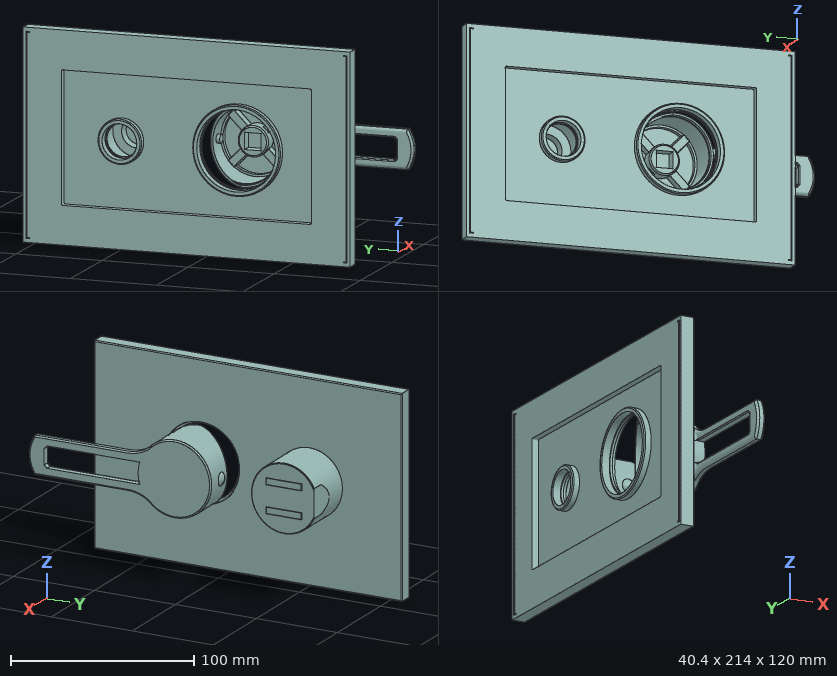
import cadquery as cq
import math


PLATE_LENGTH = 190.0
PLATE_HEIGHT = 120.0
PLATE_THICK = 8.5
PLATE_FRONT_CHAMFER = 0.6
POCKET_LENGTH = 145.3
POCKET_HEIGHT = 75.5
POCKET_DEPTH = 4.0
POCKET_CORNER = 1.0
COLLAR_WALL = 2.5
COLLAR_CHAMFER = 0.6
BIG_HOLE_RADIUS = 23.0
SMALL_HOLE_RADIUS = 10.0
HOLE_LIP = 0.6
HOLE_LIP_X = 4.7
HOLE_RECESS_WALL = 0.9
HOLE_RECESS_DEPTH = 2.4
GROOVE_INSET_Y = 2.0
GROOVE_INSET_Z = 2.4
GROOVE_WIDTH = 0.5
GROOVE_DEPTH = 0.5
GROOVE_HOOK = 2.0

LEVER_Y = -28.9
KNOB_Y = 39.0
CONTROL_BACK = 10.3

KNOB_RADIUS = 20.3
KNOB_FRONT = 39.8
KNOB_BORE_RADIUS = 14.0
KNOB_BORE_DEPTH = 17.1
KNOB_SEAT_RADIUS = 7.7
KNOB_SEAT_MOUTH_RADIUS = 8.8
KNOB_SEAT_DEPTH = 4.3
KNOB_FRONT_CHAMFER = 0.5
FLAT_DEPTH = 2.0
FLAT_RAMP_START = 25.7
FLAT_RAMP_END = 31.7
RAIL_LENGTH = 21.8
RAIL_WIDTH = 3.9
RAIL_HEIGHT = 0.6
RAIL_OFFSET = 8.3
KNOB_DOME_X = 30.2
KNOB_DOME_HEIGHT = 2.0

HUB_RADIUS = 22.5
LEVER_FRONT = 39.4
FRONT_CHAMFER = 0.9
BEVEL_TOP_X = 20.5
BEVEL_END_OFFSET = 1.0
CUP_RIM_RADIUS = 21.2
CUP_RIM_DEPTH = 2.5
CUP_RADIUS = 20.8
CUP_FLOOR_X = 34.9
CUP_STEP_RADIUS = 19.5
CUP_STEP_X = 32.0
RIB_WIDTH = 5.5
RIB_TAPER = 7
RIB_HEIGHT = 4.3
SOCKET_RADIUS = 8.8
SOCKET_HEIGHT = 8.5
SOCKET_SQUARE = 9.6
SOCKET_DEPTH = 6.5
SOCKET_CHAMFER = 0.9
LEVER_DOME_X = 27.2
LEVER_DOME_HEIGHT = 1.5
SCREW_RADIUS = 2.5
SCREW_REACH = 18.6
SCREW_EMBED = 0.6
DOME_RADIUS = 3.6

ARM_BACK = 34.7
ARM_HALF_WIDTH = 11.3
ARM_TIP_Y = PLATE_LENGTH / 2 - 214
ARM_TIP_BULGE = 3.5
ARM_BACK_CHAMFER = 1.3
FLARE_HALF_WIDTH = 17.5
FLARE_END = 29.0
FLARE_OVERLAP = 0.2
ROOT_FILLET = 1.7
SLOT_HALF_WIDTH = 6.5
SLOT_TIP_MARGIN = 9.6
SLOT_CORNER = 1.7
SLOT_BEVEL = 0.6
SLOT_BEVEL_CHAMFER = SLOT_BEVEL * 0.99


def rod(x_start, x_end, y, radius):
    """Cylinder along X."""
    return cq.Workplane("YZ", origin=(x_start, y, 0)).circle(radius).extrude(x_end - x_start)


def slab(x_start, x_end, y, length, height):
    """Box centred on Y = y and Z = 0."""
    return cq.Workplane("YZ", origin=(x_start, y, 0)).rect(length, height).extrude(x_end - x_start)


def dome(x, y_surface, outward, height):
    """Spherical cap standing on a side of a round body; outward is +1 or -1 along Y."""
    sphere_radius = (DOME_RADIUS**2 + height**2) / (2 * height)
    centre_y = y_surface + outward * (height - sphere_radius)
    return cq.Workplane("XY", origin=(x, centre_y, 0)).sphere(sphere_radius)


def make_end_groove(side):
    """Fine bracket-shaped groove in the back face along one end; side is +1 or -1 along Y."""
    groove_height = PLATE_HEIGHT - 2 * GROOVE_INSET_Z
    outer_y = PLATE_LENGTH / 2 - GROOVE_INSET_Y
    bracket = slab(0, GROOVE_DEPTH, side * (outer_y - GROOVE_HOOK / 2), GROOVE_HOOK, groove_height)
    core = slab(
        0,
        GROOVE_DEPTH,
        side * (outer_y - GROOVE_WIDTH - GROOVE_HOOK / 2),
        GROOVE_HOOK,
        groove_height - 2 * GROOVE_WIDTH,
    )
    return bracket.cut(core)


def make_plate():
    plate = slab(0, PLATE_THICK, 0, PLATE_LENGTH, PLATE_HEIGHT)
    plate = plate.faces(">X").chamfer(PLATE_FRONT_CHAMFER)
    pocket = slab(0, POCKET_DEPTH, 0, POCKET_LENGTH, POCKET_HEIGHT).edges("|X").fillet(POCKET_CORNER)
    plate = plate.cut(pocket)
    for y, hole_radius in ((LEVER_Y, BIG_HOLE_RADIUS), (KNOB_Y, SMALL_HOLE_RADIUS)):
        collar = rod(0, PLATE_THICK, y, hole_radius + COLLAR_WALL).faces("<X").chamfer(COLLAR_CHAMFER)
        hole = rod(0, PLATE_THICK, y, hole_radius - HOLE_LIP)
        seat = rod(0, HOLE_LIP_X, y, hole_radius)
        recess = rod(PLATE_THICK - HOLE_RECESS_DEPTH, PLATE_THICK, y, hole_radius + HOLE_RECESS_WALL)
        plate = plate.union(collar).cut(hole).cut(seat).cut(recess)
    return plate.cut(make_end_groove(1)).cut(make_end_groove(-1))


def make_knob():
    knob = rod(CONTROL_BACK, KNOB_FRONT, KNOB_Y, KNOB_RADIUS).faces(">X").chamfer(KNOB_FRONT_CHAMFER)
    top_y = KNOB_Y + KNOB_RADIUS
    flat = (
        cq.Workplane("XY")
        .moveTo(FLAT_RAMP_START, top_y)
        .lineTo(FLAT_RAMP_END, top_y - FLAT_DEPTH)
        .lineTo(KNOB_FRONT, top_y - FLAT_DEPTH)
        .lineTo(KNOB_FRONT, top_y)
        .close()
        .extrude(KNOB_RADIUS, both=True)
    )
    knob = knob.cut(flat)
    knob = knob.union(dome(KNOB_DOME_X, KNOB_Y - KNOB_RADIUS, -1, KNOB_DOME_HEIGHT))
    for side in (-1, 1):
        rail = slab(KNOB_FRONT, KNOB_FRONT + RAIL_HEIGHT, KNOB_Y, RAIL_LENGTH, RAIL_WIDTH)
        knob = knob.union(rail.translate((0, 0, side * RAIL_OFFSET)))
    bore_floor_x = CONTROL_BACK + KNOB_BORE_DEPTH
    knob = knob.cut(rod(CONTROL_BACK, bore_floor_x, KNOB_Y, KNOB_BORE_RADIUS))
    seat = (
        cq.Workplane("YZ", origin=(bore_floor_x, KNOB_Y, 0))
        .circle(KNOB_SEAT_MOUTH_RADIUS)
        .workplane(offset=KNOB_SEAT_DEPTH)
        .circle(KNOB_SEAT_RADIUS)
        .loft()
    )
    return knob.cut(seat)


def make_arm():
    flare_start_y = LEVER_Y - math.sqrt(HUB_RADIUS**2 - FLARE_HALF_WIDTH**2) + FLARE_OVERLAP
    flare_end_y = LEVER_Y - FLARE_END
    shoulder_y = ARM_TIP_Y + ARM_TIP_BULGE
    flare_run = flare_start_y - flare_end_y
    flare_rise = FLARE_HALF_WIDTH - ARM_HALF_WIDTH
    flare_radius = (flare_run**2 + flare_rise**2) / (2 * flare_rise)
    half_angle = math.asin(flare_run / flare_radius) / 2
    flare_mid_y = flare_end_y + flare_radius * math.sin(half_angle)
    flare_mid_z = ARM_HALF_WIDTH + flare_radius * (1 - math.cos(half_angle))
    arm = (
        cq.Workplane("YZ", origin=(ARM_BACK, 0, 0))
        .moveTo(LEVER_Y, FLARE_HALF_WIDTH)
        .lineTo(flare_start_y, FLARE_HALF_WIDTH)
        .threePointArc((flare_mid_y, flare_mid_z), (flare_end_y, ARM_HALF_WIDTH))
        .lineTo(shoulder_y, ARM_HALF_WIDTH)
        .threePointArc((ARM_TIP_Y, 0), (shoulder_y, -ARM_HALF_WIDTH))
        .lineTo(flare_end_y, -ARM_HALF_WIDTH)
        .threePointArc((flare_mid_y, -flare_mid_z), (flare_start_y, -FLARE_HALF_WIDTH))
        .lineTo(LEVER_Y, -FLARE_HALF_WIDTH)
        .close()
        .extrude(LEVER_FRONT - ARM_BACK)
    )
    arm = arm.faces("<X").chamfer(ARM_BACK_CHAMFER)
    return arm.faces(">X").chamfer(FRONT_CHAMFER)


def make_slot():
    """Slot through the arm, reaching from near the tip right up to the hub wall."""
    slot_end_y = ARM_TIP_Y + SLOT_TIP_MARGIN
    slot_y = (LEVER_Y + slot_end_y) / 2
    slot_length = LEVER_Y - slot_end_y
    slot_back = ARM_BACK - ROOT_FILLET
    slot = slab(slot_back, LEVER_FRONT, slot_y, slot_length, 2 * SLOT_HALF_WIDTH)
    slot = slot.edges("|X").chamfer(SLOT_CORNER)
    mouth = slab(
        ARM_BACK,
        ARM_BACK + SLOT_BEVEL,
        slot_y,
        slot_length + 2 * SLOT_BEVEL,
        2 * (SLOT_HALF_WIDTH + SLOT_BEVEL),
    )
    mouth = mouth.edges("|X").chamfer(SLOT_CORNER).faces(">X").chamfer(SLOT_BEVEL_CHAMFER)
    return slot.union(mouth).cut(rod(slot_back, LEVER_FRONT, LEVER_Y, HUB_RADIUS))


def make_lever():
    hub = rod(CONTROL_BACK, LEVER_FRONT, LEVER_Y, HUB_RADIUS)
    hub = hub.faces(">X").chamfer(FRONT_CHAMFER)
    lever = hub.union(make_arm())
    root_box = cq.selectors.BoxSelector(
        (ARM_BACK - 0.2, LEVER_Y - HUB_RADIUS - 2.1, -FLARE_HALF_WIDTH),
        (ARM_BACK + 0.2, LEVER_Y - FLARE_HALF_WIDTH, FLARE_HALF_WIDTH),
    )
    lever = lever.edges(root_box).fillet(ROOT_FILLET)
    lever = lever.cut(make_slot())
    top_y = LEVER_Y + HUB_RADIUS
    bevel = (
        cq.Workplane("XY")
        .moveTo(CONTROL_BACK, LEVER_Y + BEVEL_END_OFFSET)
        .lineTo(BEVEL_TOP_X, top_y)
        .lineTo(CONTROL_BACK, top_y)
        .close()
        .extrude(HUB_RADIUS, both=True)
    )
    lever = lever.cut(bevel)
    lever = lever.union(dome(LEVER_DOME_X, top_y, 1, LEVER_DOME_HEIGHT))
    lever = lever.cut(rod(CONTROL_BACK, CONTROL_BACK + CUP_RIM_DEPTH, LEVER_Y, CUP_RIM_RADIUS))
    lever = lever.cut(rod(CONTROL_BACK, CUP_STEP_X, LEVER_Y, CUP_RADIUS))
    lever = lever.cut(rod(CUP_STEP_X, CUP_FLOOR_X, LEVER_Y, CUP_STEP_RADIUS))
    for angle in (45, 135):
        rib = (
            cq.Workplane("YZ", origin=(CUP_FLOOR_X, 0, 0))
            .rect(2 * CUP_RADIUS, RIB_WIDTH)
            .extrude(-RIB_HEIGHT, taper=RIB_TAPER)
        )
        rib = rib.rotate((0, 0, 0), (1, 0, 0), angle).translate((0, LEVER_Y, 0))
        lever = lever.union(rib)
    socket_back = CUP_FLOOR_X - SOCKET_HEIGHT
    socket = rod(socket_back, CUP_FLOOR_X, LEVER_Y, SOCKET_RADIUS).faces("<X").chamfer(SOCKET_CHAMFER)
    square = slab(socket_back, socket_back + SOCKET_DEPTH, LEVER_Y, SOCKET_SQUARE, SOCKET_SQUARE)
    lever = lever.union(socket).cut(square)
    screw = (
        cq.Workplane("XZ", origin=(LEVER_DOME_X, LEVER_Y + SCREW_REACH, 0))
        .circle(SCREW_RADIUS)
        .extrude(SCREW_REACH - CUP_RADIUS - SCREW_EMBED)
    )
    return lever.union(screw)


plate = make_plate()
knob = make_knob()
lever = make_lever()

result = cq.Compound.makeCompound([plate.val(), knob.val(), lever.val()])